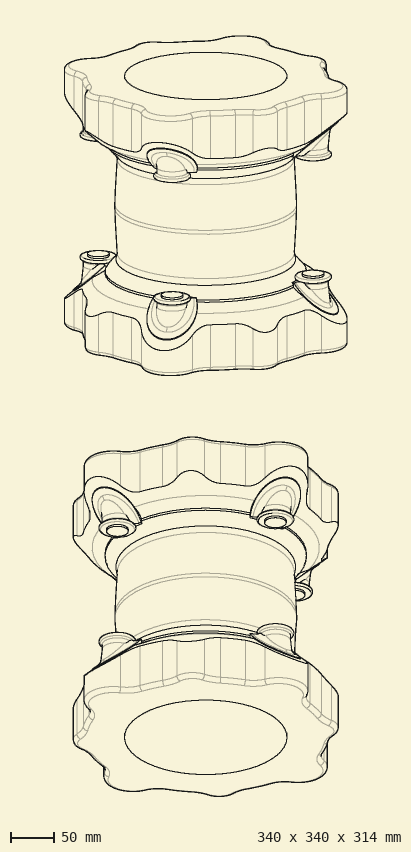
import cadquery as cq
HEIGHT = 314.0
MID_Z = HEIGHT / 2
BORE_D = 188.0

RIM_R = 142.5
EDGE_ROUND = 5.0
LOBE_COUNT = 4
MAIN_LOBE_R = 34.0
MAIN_LOBE_CENTER = 136.0
MAIN_LOBE_BLEND = 29.0
MINOR_LOBE_R = 23.8
MINOR_LOBE_CENTER = 130.5
MINOR_LOBE_BLEND = 40.8

TIP_R = MAIN_LOBE_CENTER + MAIN_LOBE_R
TIP_Z = 31.2
SHOULDER_R = 131.5
SHOULDER_Z = 67.0
STEP_R = 116.5
STEP_BOTTOM_Z = 75.7
STEP_TOP_Z = 78.5

NECK_SLOPE_R = 104.0
NECK_SLOPE_Z = 92.5
NECK_R = 102.5
BARREL_START_Z = 100.2
BARREL_R = 105.3
BARREL_BULGE_R = 104.3
BAND_HEIGHT = 4.8

BOSS_CENTER_R = 130.0
BOSS_PAD_R = 29.2
PAD_RISE = 1.0
BOSS_FOOT_R = 21.0
BOSS_FOOT_Z = 40.8
BOSS_R = 17.5
BOSS_NECK_Z = 72.7
FOOT_BLEND = 8.5
CAP_R = 21.5
CAP_BOTTOM_Z = 81.0
CAP_TOP_Z = 85.0
CAP_ROUND = 1.7
SEAT_D = 25.0
SEAT_TOP_Z = 87.3


def reach(edge):
    """Larger of the X and Y distances of an edge from the part axis."""
    center = edge.Center()
    return max(abs(center.x), abs(center.y))


def lobe_discs(lobe_r, center_r, start_angle):
    """Equal discs spaced evenly round the flange axis."""
    return (
        cq.Workplane("XY")
        .polarArray(center_r, start_angle, 360, LOBE_COUNT)
        .circle(lobe_r)
        .extrude(MID_Z)
    )


def lobed_prism():
    """Disc with alternating main and minor lobes, blended by concave fillets."""
    prism = cq.Workplane("XY").circle(RIM_R).extrude(MID_Z)
    prism = prism.union(lobe_discs(MAIN_LOBE_R, MAIN_LOBE_CENTER, 0))
    prism = prism.union(lobe_discs(MINOR_LOBE_R, MINOR_LOBE_CENTER, 180 / LOBE_COUNT))
    minor_corners = prism.edges("|Z").filter(lambda edge: reach(edge) < MINOR_LOBE_CENTER)
    prism = minor_corners.fillet(MINOR_LOBE_BLEND)
    main_corners = prism.edges("|Z").filter(lambda edge: reach(edge) > MINOR_LOBE_CENTER)
    prism = main_corners.fillet(MAIN_LOBE_BLEND)
    return prism.faces("<Z").edges().fillet(EDGE_ROUND)


def turned(outline):
    """Solid of revolution about Z from an open outline in the XZ plane."""
    return outline.close().revolve(360, (0, 0, 0), (0, 1, 0))


def turned_half():
    """Lower half of the body of revolution: flange back, step, neck and barrel."""
    bulge_z = (BARREL_START_Z + MID_Z) / 2
    return turned(
        cq.Workplane("XZ")
        .lineTo(TIP_R, 0)
        .lineTo(TIP_R, TIP_Z)
        .lineTo(SHOULDER_R, SHOULDER_Z)
        .lineTo(STEP_R, STEP_BOTTOM_Z)
        .lineTo(STEP_R, STEP_TOP_Z)
        .lineTo(NECK_SLOPE_R, NECK_SLOPE_Z)
        .lineTo(NECK_R, BARREL_START_Z)
        .threePointArc((BARREL_BULGE_R, bulge_z), (BARREL_R, MID_Z - BAND_HEIGHT / 2))
        .lineTo(BARREL_R, MID_Z)
        .lineTo(0, MID_Z)
    )


def boss_foot():
    """Tapered pin blended into a thin round pad that follows the flange slope."""
    slope = (SHOULDER_Z - TIP_Z) / (TIP_R - SHOULDER_R)
    tip_z = TIP_Z + PAD_RISE
    inner_r = BOSS_CENTER_R - BOSS_PAD_R
    inner_z = tip_z + slope * (TIP_R - inner_r)
    cone = turned(
        cq.Workplane("XZ")
        .moveTo(inner_r, 0)
        .lineTo(TIP_R, 0)
        .lineTo(TIP_R, tip_z)
        .lineTo(inner_r, inner_z)
    )
    cone = cone.rotate((0, 0, 0), (0, 0, 1), 180).translate((-BOSS_CENTER_R, 0, 0))
    pin_top_z = inner_z + FOOT_BLEND
    taper = (BOSS_FOOT_R - BOSS_R) / (BOSS_NECK_Z - BOSS_FOOT_Z)
    pin = turned(
        cq.Workplane("XZ")
        .lineTo(BOSS_FOOT_R + taper * BOSS_FOOT_Z, 0)
        .lineTo(BOSS_R - taper * (pin_top_z - BOSS_NECK_Z), pin_top_z)
        .lineTo(0, pin_top_z)
    )
    blended = cone.union(pin).edges("%BSPLINE").fillet(FOOT_BLEND)
    return blended.intersect(cq.Workplane("XY").circle(BOSS_PAD_R).extrude(CAP_BOTTOM_Z))


def boss_cap():
    """Flared, round-edged cap of a boss with a raised seat on top."""
    rim_middle_z = (CAP_BOTTOM_Z + CAP_TOP_Z) / 2
    rim_flat_r = CAP_R - CAP_ROUND
    flare_r = rim_flat_r - BOSS_R
    flare_start_z = CAP_BOTTOM_Z - flare_r
    return turned(
        cq.Workplane("XZ")
        .moveTo(0, BOSS_NECK_Z)
        .lineTo(BOSS_R, BOSS_NECK_Z)
        .lineTo(BOSS_R, flare_start_z)
        .radiusArc((rim_flat_r, CAP_BOTTOM_Z), flare_r)
        .threePointArc((CAP_R, rim_middle_z), (rim_flat_r, CAP_TOP_Z))
        .lineTo(SEAT_D / 2, CAP_TOP_Z)
        .lineTo(SEAT_D / 2, SEAT_TOP_Z)
        .lineTo(0, SEAT_TOP_Z)
    )


def on_boss_circle(shape):
    """Four copies of a shape, one at each main lobe."""
    centers = cq.Workplane("XY").polarArray(BOSS_CENTER_R, 0, 360, LOBE_COUNT)
    return centers.eachpoint(lambda place: shape.val().moved(place))


def flange_half():
    """Lower half of the solid part, before boring."""
    body = turned_half().intersect(lobed_prism())
    return body.union(on_boss_circle(boss_foot())).union(on_boss_circle(boss_cap()))


half = flange_half()
solid = half.union(half.mirror("XY", (0, 0, MID_Z)))
bore = cq.Workplane("XY").circle(BORE_D / 2).extrude(HEIGHT)
result = solid.cut(bore)